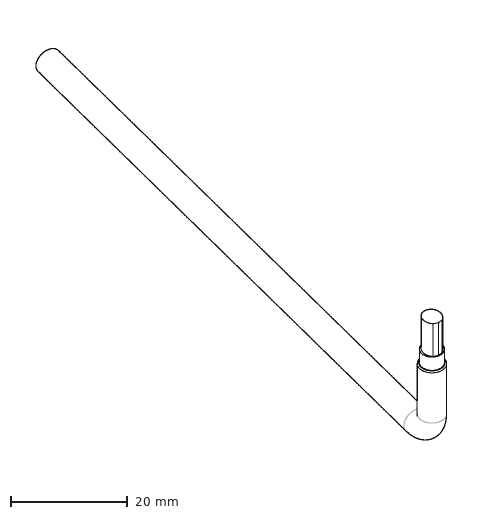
import cadquery as cq

length = 123.0
height = 29.0
rod_diameter = 5.0
rod_radius = rod_diameter / 2

bend_radius = 4.9

neck_radius = 2.15
tip_length = 7.3
neck_length = 3.0
shoulder_chamfer = 0.2

tip_half_width = 2.03
tip_half_depth = 1.78
facet_edge_x = 1.78
facet_edge_y = 0.92

long_arm_start = rod_radius - length
top = height - rod_radius
tip_base = top - tip_length
shoulder = tip_base - neck_length


def bent_rod():
    """Round rod swept along both arms and the quarter-circle bend."""
    path = (
        cq.Workplane("XZ")
        .moveTo(long_arm_start, 0)
        .lineTo(-bend_radius, 0)
        .radiusArc((0, bend_radius), -bend_radius)
        .lineTo(0, shoulder)
    )
    section = cq.Workplane("YZ", origin=(long_arm_start, 0, 0)).circle(rod_radius)
    return section.sweep(path).faces(">Z").chamfer(shoulder_chamfer)


def upright_cylinder(base, radius, cylinder_length):
    """Cylinder on the short arm's axis."""
    return cq.Workplane("XY", origin=(0, 0, base)).circle(radius).extrude(cylinder_length)


def ridged_tip():
    """Prism whose outline has a wide arc on each Y side and a two-facet ridge on each X side."""
    return (
        cq.Workplane("XY", origin=(0, 0, tip_base))
        .moveTo(-facet_edge_x, -facet_edge_y)
        .threePointArc((0, -tip_half_depth), (facet_edge_x, -facet_edge_y))
        .lineTo(tip_half_width, 0)
        .lineTo(facet_edge_x, facet_edge_y)
        .threePointArc((0, tip_half_depth), (-facet_edge_x, facet_edge_y))
        .lineTo(-tip_half_width, 0)
        .close()
        .extrude(tip_length)
    )


neck = upright_cylinder(shoulder, neck_radius, neck_length)
result = bent_rod().union(neck).union(ridged_tip())